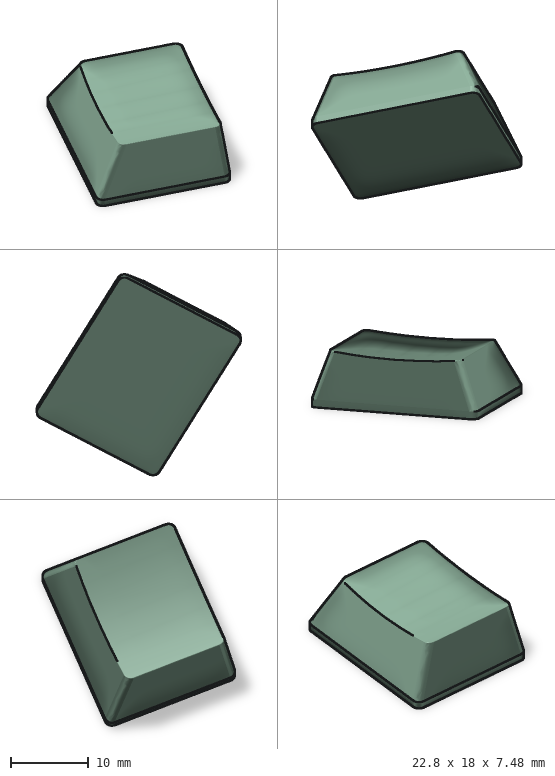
import cadquery as cq

length = 22.75
width = 18.0
skirt_height = 1.02
corner_radius = 0.95

rim_height = 7.49
side_inset = 2.35
front_inset = 3.69
back_inset = 0.55

dish_depth = 0.55
rim_round = 0.1

rim_length = length - 2 * side_inset
rim_width = width - front_inset - back_inset
rim_center_y = (front_inset - back_inset) / 2
dish_radius = ((rim_length / 2) ** 2 + dish_depth**2) / (2 * dish_depth)


def rounded_rectangle(size_x, size_y):
    return cq.Sketch().rect(size_x, size_y).vertices().fillet(corner_radius)


def make_skirt():
    return cq.Workplane("XY").placeSketch(rounded_rectangle(length, width)).extrude(skirt_height)


def make_tapered_body():
    lower = rounded_rectangle(length, width).moved(cq.Location(cq.Vector(0, 0, skirt_height)))
    upper = rounded_rectangle(rim_length, rim_width).moved(
        cq.Location(cq.Vector(0, rim_center_y, rim_height))
    )
    return cq.Workplane("XY").placeSketch(lower, upper).loft(ruled=True)


def make_dish_cutter():
    axis_height = rim_height - dish_depth + dish_radius
    return (
        cq.Workplane("XZ")
        .center(0, axis_height)
        .circle(dish_radius)
        .extrude(width, both=True)
    )


keycap = make_skirt().union(make_tapered_body()).cut(make_dish_cutter())

result = keycap.faces(">Z").edges().fillet(rim_round)